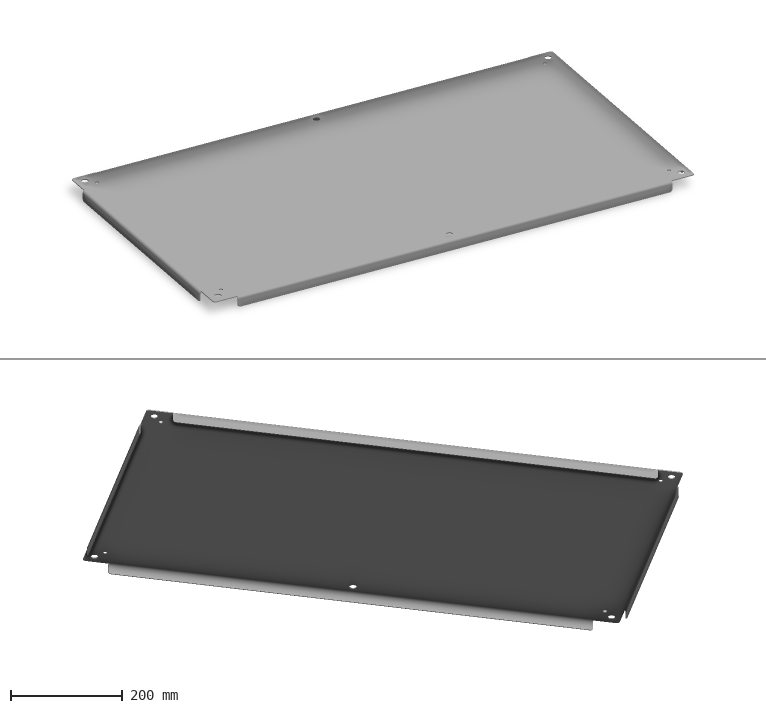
import cadquery as cq
import math

width = 532.0
length = 989.0
height = 22.0

sheet = 2.0
bend_radius = 6.0
flange_inset = 50.0
flange_corner_radius = 5.0

edge_setback = 3.0
panel_corner_radius = 5.0

mount_diameter = 13.0
mount_x = 245.0
mount_y = 474.0
pilot_diameter = 7.1
pilot_x = 228.0
pilot_y = 458.0


def make_panel():
    """Flat panel with rounded corners, cut back where the bends begin; top at Z = height."""
    panel_width = width - 2 * edge_setback
    panel_length = length - 2 * edge_setback
    panel = cq.Workplane("XY").workplane(offset=height - sheet)
    panel = panel.rect(panel_width, panel_length).extrude(sheet)
    panel = panel.edges("|Z").fillet(panel_corner_radius)
    strip_x = (width - bend_radius) / 2
    strip_y = (length - bend_radius) / 2
    for side in (-1, 1):
        long_strip = cq.Workplane("XY").box(bend_radius, length - 2 * flange_inset, height)
        short_strip = cq.Workplane("XY").box(width - 2 * flange_inset, bend_radius, height)
        panel = panel.cut(long_strip.translate((side * strip_x, 0, height)))
        panel = panel.cut(short_strip.translate((0, side * strip_y, height)))
    return panel


def make_flange(outer_distance, span):
    """Bend and flange on the +X side, running along Y."""
    bend_start = outer_distance - bend_radius
    bend_center_z = height - bend_radius
    inner_radius = bend_radius - sheet
    diagonal = math.cos(math.radians(45))
    flange = (
        cq.Workplane("XZ")
        .moveTo(bend_start, height)
        .threePointArc(
            (bend_start + bend_radius * diagonal, bend_center_z + bend_radius * diagonal),
            (outer_distance, bend_center_z),
        )
        .lineTo(outer_distance, 0)
        .lineTo(outer_distance - sheet, 0)
        .lineTo(outer_distance - sheet, bend_center_z)
        .threePointArc(
            (bend_start + inner_radius * diagonal, bend_center_z + inner_radius * diagonal),
            (bend_start, height - sheet),
        )
        .close()
        .extrude(span / 2, both=True)
    )
    return flange.faces("<Z").edges("|X").fillet(flange_corner_radius)


def mirrored(x, y):
    """The four points placed symmetrically about both center lines."""
    return [(side_x * x, side_y * y) for side_x in (-1, 1) for side_y in (-1, 1)]


long_flange = make_flange(width / 2, length - 2 * flange_inset)
short_flange = make_flange(length / 2, width - 2 * flange_inset)

result = make_panel()
for flange, first_angle in ((long_flange, 0), (short_flange, 90)):
    for angle in (first_angle, first_angle + 180):
        result = result.union(flange.rotate((0, 0, 0), (0, 0, 1), angle))

mount_points = mirrored(mount_x, mount_y) + [(-mount_x, 0), (mount_x, 0)]
mounts = cq.Workplane("XY").pushPoints(mount_points).circle(mount_diameter / 2).extrude(height)
result = result.cut(mounts)

pilot_points = mirrored(pilot_x, pilot_y)
pilots = cq.Workplane("XY").pushPoints(pilot_points).circle(pilot_diameter / 2).extrude(height)
result = result.cut(pilots)